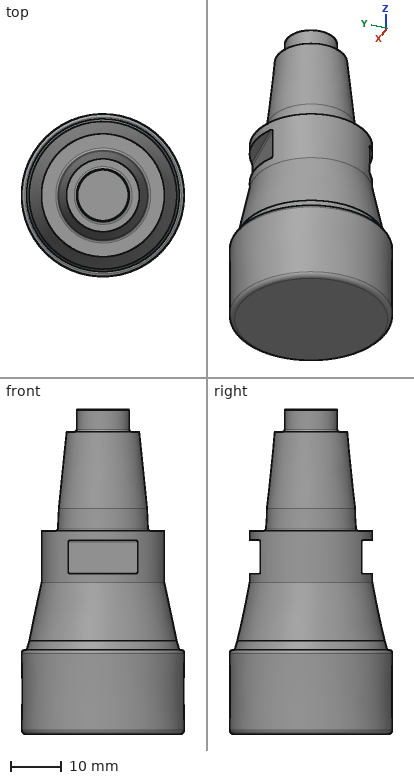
import cadquery as cq
import math

total_height = 64.0
cuff_top_z = 16.65
joint_z = 18.4
collar_bottom_z = 29.95
collar_top_z = 40.05
neck_break_z = 44.55
neck_top_z = 59.5

cuff_radius = 32.05 / 2
cuff_waist_radius = 15.95
cuff_top_round = 0.65
cuff_bottom_round = 0.95
skirt_bottom_radius = 15.05
joint_radius = 14.5

collar_radius = 24.2 / 2
flat_distance = 10.0
flat_bottom_z = 31.6
flat_top_z = 38.2
flat_corner_round = 0.3

neck_base_radius = 8.9
neck_break_radius = 8.7
neck_top_radius = 7.2
neck_foot_fillet = 0.45
pin_radius = 10.4 / 2
pin_foot_fillet = 0.5
pin_chamfer = 0.2

ARC_INSET = 1 - math.sqrt(0.5)


def revolve_about_z(profile):
    """Turn a closed half profile (radius, height) about the Z axis."""
    return profile.close().revolve(360, (0, 0, 0), (0, 1, 0))


def foot_fillet(profile, radius, floor_z, fillet):
    """Continue a rising profile from a floor into a wall of the given radius."""
    inset = fillet * ARC_INSET
    return profile.lineTo(radius + fillet, floor_z).threePointArc(
        (radius + inset, floor_z + inset), (radius, floor_z + fillet)
    )


def make_cuff():
    """Round, slightly waisted cuff with the lower end of the skirt on top."""
    bottom_inset = cuff_bottom_round * ARC_INSET
    top_inset = cuff_top_round * ARC_INSET
    waist_z = (cuff_bottom_round + cuff_top_z - cuff_top_round) / 2
    profile = (
        cq.Workplane("XZ")
        .lineTo(cuff_radius - cuff_bottom_round, 0)
        .threePointArc((cuff_radius - bottom_inset, bottom_inset), (cuff_radius, cuff_bottom_round))
        .threePointArc((cuff_waist_radius, waist_z), (cuff_radius, cuff_top_z - cuff_top_round))
        .threePointArc(
            (cuff_radius - top_inset, cuff_top_z - top_inset),
            (cuff_radius - cuff_top_round, cuff_top_z),
        )
        .lineTo(skirt_bottom_radius, cuff_top_z)
        .lineTo(joint_radius, joint_z)
        .lineTo(0, joint_z)
    )
    return revolve_about_z(profile)


def make_flat_cutter(side):
    """Block that cuts one wrench flat, on the -Y side (-1) or the +Y side (+1)."""
    height = flat_top_z - flat_bottom_z
    depth = 2 * (collar_radius - flat_distance)
    inner_edges = "<Y" if side > 0 else ">Y"
    return (
        cq.Workplane("XY")
        .box(2 * collar_radius, depth, height)
        .faces(inner_edges)
        .edges("|X")
        .fillet(flat_corner_round)
        .translate((0, side * (flat_distance + depth / 2), (flat_bottom_z + flat_top_z) / 2))
    )


def make_spindle():
    """Skirt, collar, tapered neck and pilot pin, turned as one piece."""
    profile = (
        cq.Workplane("XZ")
        .moveTo(0, joint_z)
        .lineTo(joint_radius, joint_z)
        .lineTo(collar_radius, collar_bottom_z)
        .lineTo(collar_radius, collar_top_z)
    )
    profile = foot_fillet(profile, neck_base_radius, collar_top_z, neck_foot_fillet)
    profile = profile.lineTo(neck_break_radius, neck_break_z).lineTo(neck_top_radius, neck_top_z)
    profile = foot_fillet(profile, pin_radius, neck_top_z, pin_foot_fillet)
    profile = (
        profile.lineTo(pin_radius, total_height - pin_chamfer)
        .lineTo(pin_radius - pin_chamfer, total_height)
        .lineTo(0, total_height)
    )
    spindle = revolve_about_z(profile)
    for side in (-1, 1):
        spindle = spindle.cut(make_flat_cutter(side))
    return spindle


cuff = make_cuff()
spindle = make_spindle()

result = cq.Compound.makeCompound([cuff.val(), spindle.val()])